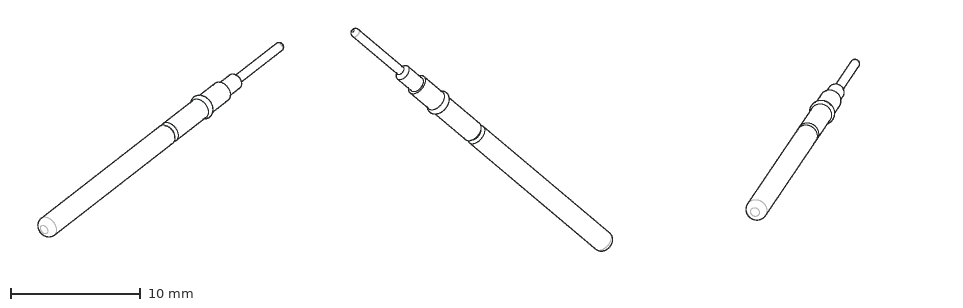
import cadquery as cq
import math

total_length = 32.0
groove_center = 16.67
groove_width = 0.45
ring_center = 21.25
body_front = 23.95
sleeve_front = 26.0

body_radius = 0.83
groove_radius = 0.65
sleeve_radius = 0.65
plunger_radius = 0.35

ring_radius = 1.0
ring_half_width = 0.3

rear_round = 0.48
tip_length = 0.35
tip_flat_radius = 0.13
sleeve_chamfer = sleeve_radius - plunger_radius

quarter_middle = math.sqrt(0.5)


def add_rear_body(profile):
    """Rear face, its rounded edge, and the V groove around the body."""
    round_center_radius = body_radius - rear_round
    middle = rear_round * quarter_middle
    return (
        profile.lineTo(round_center_radius, 0)
        .threePointArc(
            (round_center_radius + middle, rear_round - middle),
            (body_radius, rear_round),
        )
        .lineTo(body_radius, groove_center - groove_width / 2)
        .lineTo(groove_radius, groove_center)
        .lineTo(body_radius, groove_center + groove_width / 2)
    )


def add_ring(profile):
    """Retaining bead and the rest of the body up to its front step."""
    return (
        profile.lineTo(body_radius, ring_center - ring_half_width)
        .threePointArc(
            (ring_radius, ring_center),
            (body_radius, ring_center + ring_half_width),
        )
        .lineTo(body_radius, body_front)
    )


def add_plunger(profile):
    """Chamfered sleeve and the thin plunger with its rounded tip."""
    tip_start = total_length - tip_length
    tip_depth = plunger_radius - tip_flat_radius
    return (
        profile.lineTo(sleeve_radius, body_front)
        .lineTo(sleeve_radius, sleeve_front - sleeve_chamfer)
        .lineTo(plunger_radius, sleeve_front)
        .lineTo(plunger_radius, tip_start)
        .threePointArc(
            (tip_flat_radius + tip_depth * quarter_middle, tip_start + tip_length * quarter_middle),
            (tip_flat_radius, total_length),
        )
        .lineTo(0, total_length)
    )


half_section = add_plunger(add_ring(add_rear_body(cq.Workplane("XY").moveTo(0, 0))))
result = half_section.close().revolve(360, (0, 0), (0, 1))